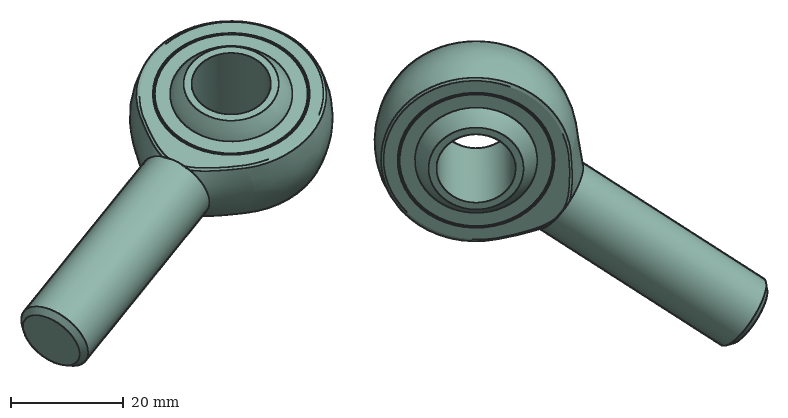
import cadquery as cq
import math

eye_radius = 18.0
eye_thickness = 13.2
rim_chamfer = 0.3
race_diameter = 27.4
seam_chamfer = 0.195

overall_length = 77.9
shank_diameter = 14.0
shank_end_chamfer = 1.1
neck_angle = 45.0

ball_radius = 12.7
ball_width = 19.0
ball_bore_diameter = 14.0

shank_radius = shank_diameter / 2
shank_end = overall_length - eye_radius
tangent_offset = eye_radius * math.sin(math.radians(neck_angle))
tangent_radius = eye_radius * math.cos(math.radians(neck_angle))
neck_length = (tangent_radius - shank_radius) / math.tan(math.radians(neck_angle))
neck_end = tangent_offset + neck_length


def disc(diameter, height):
    """Cylinder about Z, centred on the origin."""
    return cq.Workplane("XY").circle(diameter / 2).extrude(height / 2, both=True)


def make_eye_blank():
    """Sphere blended into the neck cone, with flat faces and chamfered rims."""
    blank = (
        cq.Workplane("XY")
        .moveTo(0, eye_radius)
        .threePointArc((eye_radius, 0), (tangent_radius, -tangent_offset))
        .lineTo(shank_radius, -neck_end)
        .lineTo(0, -neck_end)
        .close()
        .revolve(360, (0, 0, 0), (0, 1, 0))
    )
    slab = cq.Workplane("XY").box(4 * eye_radius, 4 * eye_radius, eye_thickness)
    eye = blank.intersect(slab)
    return eye.faces("|Z").edges("not <Y").chamfer(rim_chamfer)


def make_shank():
    """Round shank from the neck to its chamfered free end."""
    return (
        cq.Workplane("XZ", origin=(0, -neck_end, 0))
        .circle(shank_radius)
        .extrude(shank_end - neck_end)
        .faces("<Y")
        .chamfer(shank_end_chamfer)
    )


def make_housing():
    """Rod end housing with a through bore for the race."""
    bore = disc(race_diameter, eye_thickness)
    housing = make_eye_blank().union(make_shank()).cut(bore)
    bore_rims = housing.faces("|Z").edges(cq.selectors.RadiusNthSelector(0))
    return bore_rims.chamfer(seam_chamfer)


def make_race():
    """Ring filling the housing bore, with a spherical seat for the ball."""
    ring = disc(race_diameter, eye_thickness).faces("|Z").chamfer(seam_chamfer)
    return ring.cut(cq.Workplane("XY").sphere(ball_radius))


def make_ball():
    """Sphere with flat ends and a through bore."""
    ends = disc(2 * ball_radius, ball_width)
    ball = cq.Workplane("XY").sphere(ball_radius).intersect(ends)
    return ball.cut(disc(ball_bore_diameter, ball_width))


housing = make_housing()
race = make_race()
ball = make_ball()

result = cq.Compound.makeCompound([housing.val(), race.val(), ball.val()])